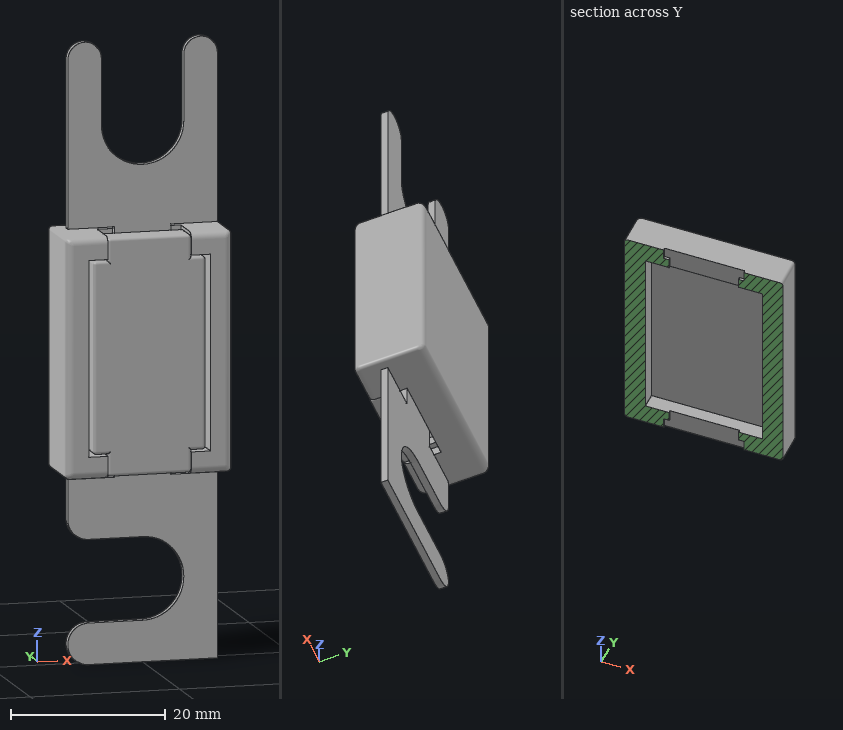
import cadquery as cq


TOTAL_LENGTH = 82.2
HOUSING_WIDTH = 22.2
HOUSING_DEPTH = 10.0
HOUSING_LENGTH = 31.9
WALL = 3.0
FACE_FILLET = 1.0
CORNER_FILLET = 0.5

BLADE_WIDTH = 20.05
BLADE_THICKNESS = 1.0
BLADE_FRONT = -1.5
NECK_WIDTH = 7.6
SHOULDER_GAP = 0.6
NECK_REACH = 2.5
BOLT_SLOT_WIDTH = 11.0
BOLT_CENTRE = 30.1

TAB_WIDTH = 11.2
OPENING_BACK = 0.3
INNER_OPENING_WIDTH = 9.7

LID_SIDE_GAP = 0.65
LID_END_GAP = 0.25
LID_FILLET = 0.4

housing_front = -HOUSING_DEPTH / 2
housing_end = HOUSING_LENGTH / 2
cavity_width = HOUSING_WIDTH - 2 * WALL
cavity_length = HOUSING_LENGTH - 2 * WALL
cavity_depth = HOUSING_DEPTH - WALL
cavity_end = cavity_length / 2
blade_back = BLADE_FRONT + BLADE_THICKNESS
blade_tip = TOTAL_LENGTH / 2
blade_side = BLADE_WIDTH / 2
neck_side = NECK_WIDTH / 2
neck_end = cavity_end - NECK_REACH
shoulder = housing_end + SHOULDER_GAP
bolt_radius = BOLT_SLOT_WIDTH / 2


def block(width, length, y_front, y_back):
    """Box centred on X and Z, between two Y positions."""
    depth = y_back - y_front
    return cq.Workplane("XY").box(width, depth, length).translate((0, (y_front + y_back) / 2, 0))


def make_housing():
    body = block(HOUSING_WIDTH, HOUSING_LENGTH, housing_front, -housing_front)
    body = body.edges("|Y").fillet(CORNER_FILLET)
    body = body.faces("<Y or >Y").edges().fillet(FACE_FILLET)

    cavity = block(cavity_width, cavity_length, housing_front, housing_front + cavity_depth)
    inner_opening = block(INNER_OPENING_WIDTH, HOUSING_LENGTH, BLADE_FRONT, OPENING_BACK)
    tab_opening = block(TAB_WIDTH, HOUSING_LENGTH, housing_front, BLADE_FRONT)
    body = body.cut(cavity).cut(inner_opening).cut(tab_opening)
    for end in (-1, 1):
        mouth = block(TAB_WIDTH, WALL / 2, BLADE_FRONT, OPENING_BACK)
        body = body.cut(mouth.translate((0, 0, end * (housing_end - WALL / 4))))
    return body


def make_lid():
    panel_width = cavity_width - 2 * LID_SIDE_GAP
    panel_length = cavity_length - 2 * LID_END_GAP
    tab_length = HOUSING_LENGTH - 2 * LID_END_GAP
    panel = block(panel_width, panel_length, housing_front, BLADE_FRONT)
    panel = panel.edges("|Y").fillet(LID_FILLET)
    tabs = block(TAB_WIDTH, tab_length, housing_front, BLADE_FRONT)
    tabs = tabs.edges("|Y").fillet(LID_FILLET)
    return panel.union(tabs).faces("<Y").edges().fillet(LID_FILLET)


def extrude_blade(outline):
    """Give a closed XZ outline the blade thickness (the XZ normal points to -Y)."""
    return outline.close().extrude(BLADE_THICKNESS).translate((0, blade_back, 0))


def make_upper_terminal():
    """Fork with its bolt slot open towards +Z and both arm tips fully rounded."""
    tip_radius = (blade_side - bolt_radius) / 2
    arm_middle = bolt_radius + tip_radius
    arm_top = blade_tip - tip_radius
    outline = (
        cq.Workplane("XZ")
        .moveTo(-neck_side, neck_end)
        .lineTo(neck_side, neck_end)
        .lineTo(neck_side, shoulder)
        .lineTo(blade_side, shoulder)
        .lineTo(blade_side, arm_top)
        .threePointArc((arm_middle, blade_tip), (bolt_radius, arm_top))
        .lineTo(bolt_radius, BOLT_CENTRE)
        .threePointArc((0, BOLT_CENTRE - bolt_radius), (-bolt_radius, BOLT_CENTRE))
        .lineTo(-bolt_radius, arm_top)
        .threePointArc((-arm_middle, blade_tip), (-blade_side, arm_top))
        .lineTo(-blade_side, shoulder)
        .lineTo(-neck_side, shoulder)
    )
    return extrude_blade(outline)


def make_lower_terminal():
    """Hook with its bolt slot open towards -X and a fully rounded lower arm."""
    slot_top = -BOLT_CENTRE + bolt_radius
    slot_bottom = -BOLT_CENTRE - bolt_radius
    tip_radius = (blade_tip + slot_bottom) / 2
    tip_x = -blade_side + tip_radius
    outline = (
        cq.Workplane("XZ")
        .moveTo(-neck_side, -neck_end)
        .lineTo(neck_side, -neck_end)
        .lineTo(neck_side, -shoulder)
        .lineTo(blade_side, -shoulder)
        .lineTo(blade_side, -blade_tip)
        .lineTo(tip_x, -blade_tip)
        .threePointArc((-blade_side, slot_bottom - tip_radius), (tip_x, slot_bottom))
        .lineTo(0, slot_bottom)
        .threePointArc((bolt_radius, -BOLT_CENTRE), (0, slot_top))
        .lineTo(tip_x, slot_top)
        .tangentArcPoint((-blade_side, slot_top + tip_radius), relative=False)
        .lineTo(-blade_side, -shoulder)
        .lineTo(-neck_side, -shoulder)
    )
    return extrude_blade(outline)


housing = make_housing()
lid = make_lid()
upper_terminal = make_upper_terminal()
lower_terminal = make_lower_terminal()

result = cq.Compound.makeCompound(
    [housing.solids().val(), lid.solids().val(), upper_terminal.val(), lower_terminal.val()]
)